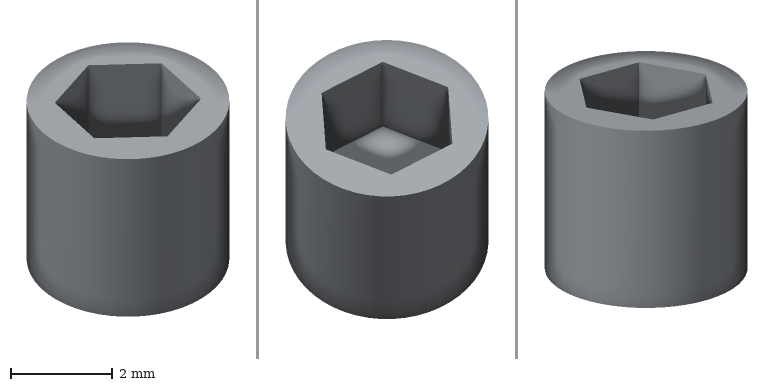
import cadquery as cq
import math

outer_diameter = 4.0
height = 3.8
socket_across_flats = 2.5
socket_depth = 2.0
socket_angle = -7.03

hexagon_sides = 6
socket_across_corners = socket_across_flats / math.cos(math.pi / hexagon_sides)


def cylinder_body():
    """Plain round body standing on the XY plane."""
    return cq.Workplane("XY").circle(outer_diameter / 2).extrude(height)


def hex_socket():
    """Blind hexagonal socket volume, open at the top face."""
    return (
        cq.Workplane("XY")
        .workplane(offset=height - socket_depth)
        .transformed(rotate=(0, 0, socket_angle))
        .polygon(hexagon_sides, socket_across_corners)
        .extrude(socket_depth)
    )


result = cylinder_body().cut(hex_socket())